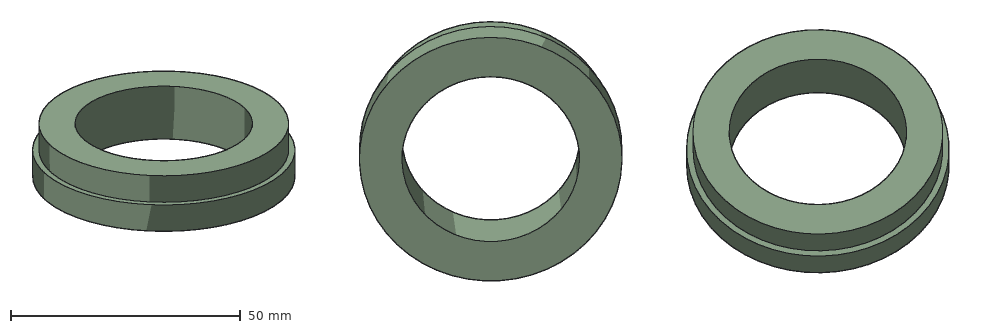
import cadquery as cq

flange_diameter = 57.15
collar_diameter = 54.36
bore_diameter = 38.6
total_height = 12.7
flange_height = total_height / 2
collar_height = total_height - flange_height


def make_disc(diameter, height, base_z):
    """Solid disc on the Z axis, standing on the plane at base_z."""
    return cq.Workplane("XY").workplane(offset=base_z).circle(diameter / 2).extrude(height)


flange = make_disc(flange_diameter, flange_height, 0)
collar = make_disc(collar_diameter, collar_height, flange_height)
bore = make_disc(bore_diameter, total_height, 0)

result = flange.union(collar).cut(bore)